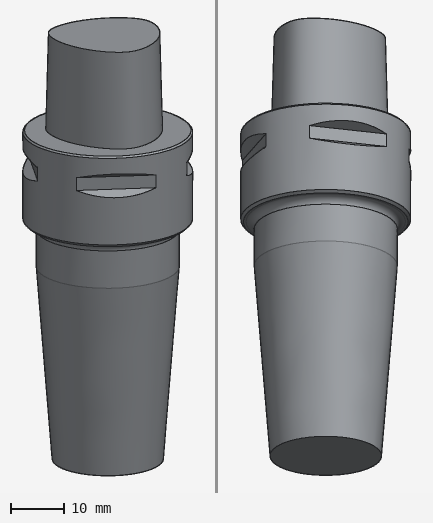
import cadquery as cq
import math

total_length = 84.0
shank_length = 19.0
flange_top = total_length - shank_length
flange_bottom = 47.0
neck_top = 38.1

flange_radius = 32.0 / 2
neck_radius = 27.0 / 2
nose_radius = 21.0 / 2
top_chamfer = 0.3
bottom_chamfer = 0.5
relief_radius = 1.5
joint_height = flange_bottom - relief_radius

shank_base_radius = 11.0
shank_top_radius = 10.5
lobe_height = 0.75
outline_points = 48

notch_count = 4
notch_first_angle = 45.0
notch_floor_distance = 14.1
notch_center_height = 59.2
notch_floor_height = 2.5
notch_wall_slope = 30.0
notch_cutter_reach = 16.8


def lobed_outline(mean_radius):
    """Constant-width curve with one lobe toward +Y; it starts and ends at -Y."""
    points = []
    for i in range(outline_points):
        angle = math.pi + 2 * math.pi * i / outline_points
        along = (mean_radius * math.cos(angle) + 2 * lobe_height * math.cos(2 * angle)
                 - lobe_height * math.cos(4 * angle))
        across = (mean_radius * math.sin(angle) - 2 * lobe_height * math.sin(2 * angle)
                  - lobe_height * math.sin(4 * angle))
        points.append(cq.Vector(-across, along, 0))
    return cq.Wire.assembleEdges([cq.Edge.makeSpline(points, periodic=True)])


def make_shank():
    base = lobed_outline(shank_base_radius).translate(cq.Vector(0, 0, flange_top))
    top = lobed_outline(shank_top_radius).translate(cq.Vector(0, 0, total_length))
    return cq.Workplane(cq.Solid.makeLoft([base, top]))


def make_flange():
    """Chamfered disc whose underside runs through a concave arc into the neck radius."""
    arc_offset = relief_radius * (1 - math.sqrt(0.5))
    return (
        cq.Workplane("XZ")
        .moveTo(0, joint_height)
        .lineTo(neck_radius, joint_height)
        .threePointArc(
            (neck_radius + arc_offset, flange_bottom - arc_offset),
            (neck_radius + relief_radius, flange_bottom),
        )
        .lineTo(flange_radius - bottom_chamfer, flange_bottom)
        .lineTo(flange_radius, flange_bottom + bottom_chamfer)
        .lineTo(flange_radius, flange_top - top_chamfer)
        .lineTo(flange_radius - top_chamfer, flange_top)
        .lineTo(0, flange_top)
        .close()
        .revolve(360, (0, 0), (0, 1))
    )


def make_notch_cutter(angle):
    """Straight cutter with a flat floor and two flared walls, turned to its place."""
    floor_half = notch_floor_height / 2
    flare = (notch_cutter_reach - notch_floor_distance) * math.tan(math.radians(notch_wall_slope))
    mouth_half = floor_half + flare
    return (
        cq.Workplane("XZ")
        .moveTo(notch_floor_distance, notch_center_height - floor_half)
        .lineTo(notch_cutter_reach, notch_center_height - mouth_half)
        .lineTo(notch_cutter_reach, notch_center_height + mouth_half)
        .lineTo(notch_floor_distance, notch_center_height + floor_half)
        .close()
        .extrude(flange_radius, both=True)
        .rotate((0, 0, 0), (0, 0, 1), angle)
    )


def make_adapter():
    """Machine-side body: lobed shank, flange and gripper notches."""
    adapter = make_flange().union(make_shank())
    for i in range(notch_count):
        adapter = adapter.cut(make_notch_cutter(notch_first_angle + i * 360 / notch_count))
    return adapter


def make_chuck():
    """Tool-side body: cylindrical neck and tapered nose."""
    return (
        cq.Workplane("XZ")
        .lineTo(nose_radius, 0)
        .lineTo(neck_radius, neck_top)
        .lineTo(neck_radius, joint_height)
        .lineTo(0, joint_height)
        .close()
        .revolve(360, (0, 0), (0, 1))
    )


adapter = make_adapter()
chuck = make_chuck()
result = cq.Compound.makeCompound([adapter.solids().val(), chuck.solids().val()])